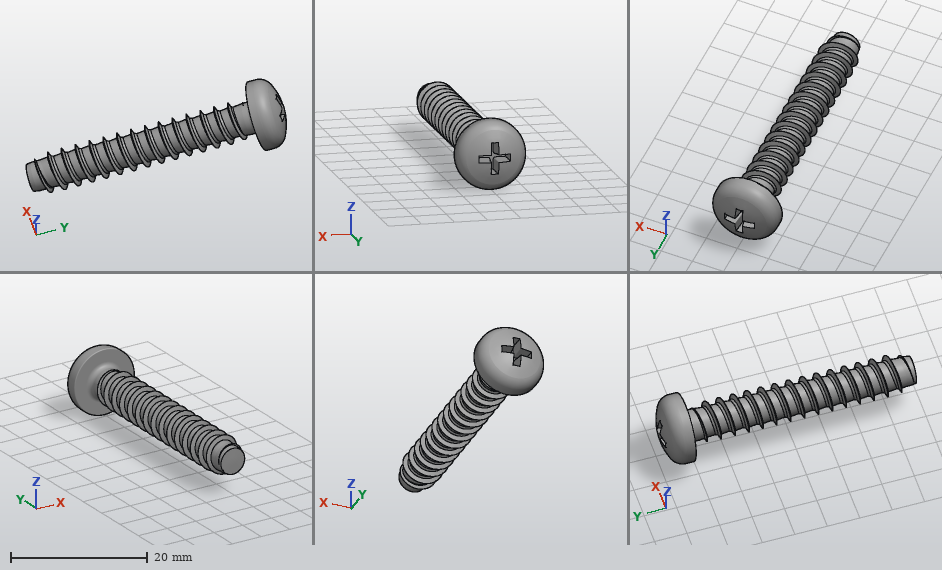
import cadquery as cq
import math

overall_length = 39.12

head_radius = 5.25
head_apex = 4.2
rim_height = 1.3
head_corner_radius = 2.1
rim_edge_radius = 0.15

wing_half_width = 0.6
wing_reach = 2.43
recess_depth = 2.35
recess_taper = 8.0

neck_radius = 2.4
neck_fillet = 0.8
neck_end = 1.5
core_radius = 2.2
core_start = 3.45
tip_radius = 2.07
tip_taper_length = 0.8
tip_cone_height = 0.08

thread_turns = 13
thread_advance = 27.8
pitch = thread_advance / thread_turns
crest_radius = 3.0
crest_half_width = 0.02
head_knee_radius = 2.35
head_knee_offset = 0.3
flare_end_offset = 0.7
tip_knee_radius = 2.3
tip_knee_offset = 0.25
ramp_end_offset = 1.33
root_overlap = 0.008
crest_at_plus_x = 3.4
first_full_turn = -0.2
last_full_turn = 13.4
runout_turns = 1.2
runout_sinking = 0.2
runout_flattening = 0.9
runout_narrowing = 0.8
segment_turns = 0.4
steps_per_segment = 8

corner_center_x = head_radius - head_corner_radius
corner_below_apex = head_apex - rim_height
dome_radius = (corner_center_x**2 + corner_below_apex**2 - head_corner_radius**2) / (
    2 * (corner_below_apex - head_corner_radius)
)
dome_center_y = head_apex - dome_radius

recess_corner_radius = wing_half_width * math.sqrt(2)
head_top = dome_center_y + math.sqrt(dome_radius**2 - recess_corner_radius**2)
shank_length = overall_length - head_top

root_radius = core_radius - root_overlap


def arc_point(center_x, center_y, radius, angle):
    """Point on a circle; the angle is measured from the +Y direction towards +X."""
    return center_x + radius * math.sin(angle), center_y + radius * math.cos(angle)


def make_body():
    """Head, neck and core as one revolved outline."""
    tangent_angle = math.atan2(corner_center_x, rim_height - dome_center_y)
    dome_end = arc_point(0, dome_center_y, dome_radius, tangent_angle)
    dome_middle = arc_point(0, dome_center_y, dome_radius, tangent_angle / 2)
    corner_middle = arc_point(
        corner_center_x, rim_height, head_corner_radius, (tangent_angle + math.pi / 2) / 2
    )
    fillet_middle = arc_point(
        neck_radius + neck_fillet, -neck_fillet, neck_fillet, -math.pi / 4
    )
    edge_middle = arc_point(
        head_radius - rim_edge_radius, rim_edge_radius, rim_edge_radius, 3 * math.pi / 4
    )
    tip_edge = -shank_length + tip_cone_height
    outline = (
        cq.Workplane("XY")
        .moveTo(0, head_apex)
        .threePointArc(dome_middle, dome_end)
        .threePointArc(corner_middle, (head_radius, rim_height))
        .lineTo(head_radius, rim_edge_radius)
        .threePointArc(edge_middle, (head_radius - rim_edge_radius, 0))
        .lineTo(neck_radius + neck_fillet, 0)
        .threePointArc(fillet_middle, (neck_radius, -neck_fillet))
        .lineTo(neck_radius, -neck_end)
        .lineTo(core_radius, -core_start)
        .lineTo(core_radius, tip_edge + tip_taper_length)
        .lineTo(tip_radius, tip_edge)
        .lineTo(0, -shank_length)
        .close()
    )
    return outline.revolve(360, (0, 0, 0), (0, 1, 0))


def make_recess():
    """Cross-shaped recess with drafted walls, open at the top of the head."""
    top_plane = cq.Workplane("XZ", origin=(0, head_apex, 0))
    cross = (
        top_plane.sketch()
        .rect(2 * wing_reach, 2 * wing_half_width)
        .rect(2 * wing_half_width, 2 * wing_reach)
        .clean()
        .finalize()
    )
    return cross.extrude(recess_depth, taper=recess_taper)


def runout_share(turn):
    """0 on the full thread, rising to 1 at either end."""
    outside = max(first_full_turn - turn, turn - last_full_turn, 0)
    return outside / runout_turns


def rail_point(turn, radius, offset):
    """Point of a thread rail; offset is measured from the crest centre towards the head."""
    share = runout_share(turn)
    angle = 2 * math.pi * turn
    height = (radius - root_radius) * (1 - runout_flattening * share)
    local_radius = root_radius + height - runout_sinking * share
    local_offset = offset * (1 - runout_narrowing * share)
    depth = crest_at_plus_x + pitch * turn
    return cq.Vector(
        local_radius * math.cos(angle), local_offset - depth, local_radius * math.sin(angle)
    )


def buried_offset(knee_radius, knee_offset, end_offset):
    """Extend the line from a knee to the core surface until it reaches the root radius."""
    run_per_height = (end_offset - knee_offset) / (knee_radius - core_radius)
    return end_offset + run_per_height * root_overlap


def make_thread():
    """Helical ridge bounded by ruled faces between neighbouring rails."""
    flare_foot = buried_offset(head_knee_radius, head_knee_offset, flare_end_offset)
    ramp_foot = buried_offset(tip_knee_radius, tip_knee_offset, ramp_end_offset)
    profile = [
        (root_radius, flare_foot),
        (head_knee_radius, head_knee_offset),
        (crest_radius, crest_half_width),
        (crest_radius, -crest_half_width),
        (tip_knee_radius, -tip_knee_offset),
        (root_radius, -ramp_foot),
    ]

    first_turn = first_full_turn - runout_turns
    last_turn = last_full_turn + runout_turns
    segment_count = round((last_turn - first_turn) / segment_turns)

    faces = []
    for segment in range(segment_count):
        segment_start = first_turn + segment * segment_turns
        turns = [
            segment_start + segment_turns * step / steps_per_segment
            for step in range(steps_per_segment + 1)
        ]
        rails = [
            cq.Edge.makeSpline([rail_point(turn, radius, offset) for turn in turns])
            for radius, offset in profile
        ]
        for rail, next_rail in zip(rails, rails[1:] + rails[:1]):
            faces.append(cq.Face.makeRuledSurface(rail, next_rail))

    for turn in (first_turn, last_turn):
        corners = [rail_point(turn, radius, offset) for radius, offset in profile]
        faces.append(cq.Face.makeFromWires(cq.Wire.makePolygon(corners, close=True)))
    ridge = cq.Solid.makeSolid(cq.Shell.makeShell(faces))
    return cq.Workplane(obj=ridge.fix())


result = make_body().cut(make_recess()).union(make_thread())